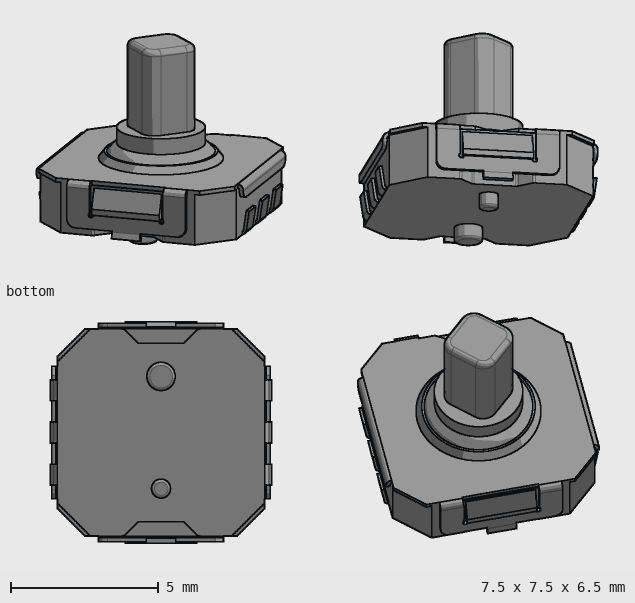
import cadquery as cq
import math

overall_half = 3.75

body_half = 3.5
cover_top = 1.91
sheet = 0.14
base_top = cover_top - sheet
base_chamfer = 1.11
cover_chamfer = 0.93

skirt_outer = 3.7
skirt_inner = skirt_outer - sheet
bend_radius = 0.22
skirt_corner = 0.3
end_skirt_width = 4.23
end_skirt_bottom = 0.28
side_skirt_width = 4.485
side_skirt_bottom = 1.395

window_width = 2.625
window_bottom = 0.77
window_edge = 3.46
relief_radius = 0.08

lug_width = 2.415
lug_top = 1.68
lug_crest = 1.0
lug_bottom = 0.795
lug_root = 0.075

tongue_width = 1.005
tongue_fold = 0.255
tongue_inner_reach = 3.585
tongue_outer_tip = 0.02
tongue_inner_tip = 0.0

recess_half_mouth = 1.25
recess_depth = 0.49
recess_height = 0.57
recess_outer_round = 0.15
recess_inner_round = 0.12

notch_half = 0.75
notch_apex = 2.94
notch_round = 0.3

terminal_width = 0.71
terminal_pitch = 1.425
terminal_thickness = 0.105
terminal_top = 0.84
terminal_bend = 0.195
terminal_tilt = math.radians(8.5)
terminal_root = 3.3

collar_bottom_radius = 2.115
collar_top_radius = 1.92
dome_bottom_radius = 1.84
dome_bottom = 2.17
disc_radius = 1.5
disc_bottom = 2.45
disc_top = 3.01
dome_bulge = 0.03

stem_side = 1.94
stem_corner = 0.48
stem_top = 6.0
stem_top_round = 0.2

peg_offset = 1.9
front_peg_radius = 0.48
back_peg_radius = 0.32
peg_length = 0.5
peg_round = 0.1


def octagon(half, chamfer, bottom, top):
    """Square block with chamfered upright corners."""
    block = cq.Workplane("XY").box(2 * half, 2 * half, top - bottom, centered=(True, True, False))
    return block.edges("|Z").chamfer(chamfer).translate((0, 0, bottom))


def with_opposite(shape):
    """Join a shape to its copy turned half round the Z axis."""
    return shape.union(shape.rotate((0, 0, 0), (0, 0, 1), 180))


def extrude_across(profile, width):
    """Extrude a profile drawn in the YZ plane evenly to both sides of that plane."""
    return profile.extrude(width / 2, both=True)


def make_recess():
    """Volume cut from the +Y side of the base."""
    inner_half = recess_half_mouth - recess_depth
    floor = body_half - recess_depth
    prism = (
        cq.Workplane("XY")
        .polyline([
            (-recess_half_mouth, body_half),
            (-inner_half, floor),
            (inner_half, floor),
            (recess_half_mouth, body_half),
        ])
        .close()
        .extrude(recess_height)
    )
    return prism.edges("|Z and <Y").fillet(recess_inner_round)


def make_base():
    base = octagon(body_half, base_chamfer, 0, base_top)
    base = base.cut(with_opposite(make_recess()))
    mouth_box = cq.selectors.BoxSelector(
        (-body_half / 2, -overall_half, 0),
        (body_half / 2, overall_half, recess_height),
    )
    mouth_edges = base.edges("|Z").edges(mouth_box).edges("<Y or >Y")
    return mouth_edges.fillet(recess_outer_round)


def make_lug():
    """Wedge on the +Y side; it starts inside the base so that the two join."""
    profile = cq.Workplane("YZ").polyline([
        (body_half - lug_root, lug_bottom),
        (overall_half, lug_bottom),
        (overall_half, lug_crest),
        (body_half, lug_top),
        (body_half - lug_root, lug_top),
    ]).close()
    return extrude_across(profile, lug_width)


def make_peg(y, radius):
    peg = cq.Workplane("XY").center(0, y).circle(radius).extrude(-peg_length)
    return peg.faces("<Z").edges().fillet(peg_round)


def make_skirt(width, bottom):
    """Skirt on the +Y side, joined to the cover by a rounded fold."""
    bend_start = skirt_outer - bend_radius
    inside_radius = bend_radius - sheet
    diagonal = math.sqrt(0.5)
    bend_centre = cover_top - bend_radius
    profile = (
        cq.Workplane("YZ")
        .moveTo(bend_start, cover_top)
        .threePointArc(
            (bend_start + bend_radius * diagonal, bend_centre + bend_radius * diagonal),
            (skirt_outer, bend_centre),
        )
        .lineTo(skirt_outer, bottom)
        .lineTo(skirt_inner, bottom)
        .lineTo(skirt_inner, bend_centre)
        .threePointArc(
            (bend_start + inside_radius * diagonal, bend_centre + inside_radius * diagonal),
            (bend_start, base_top),
        )
        .close()
    )
    return extrude_across(profile, width).edges("|Y and <Z").fillet(skirt_corner)


def make_tongue():
    """Tongue on the +Y side, leaning outwards below the fold line."""
    profile = cq.Workplane("YZ").polyline([
        (skirt_inner, end_skirt_bottom),
        (skirt_outer, end_skirt_bottom),
        (skirt_outer, tongue_fold),
        (overall_half, tongue_outer_tip),
        (tongue_inner_reach, tongue_inner_tip),
        (skirt_inner, tongue_fold),
    ]).close()
    return extrude_across(profile, tongue_width)


def make_window():
    """Volume cut from the +Y skirt, with a round relief at each lower corner."""
    depth = overall_half - window_edge
    window = cq.Workplane("XY").box(
        window_width, depth, cover_top - window_bottom, centered=(True, False, False)
    ).translate((0, window_edge, window_bottom))
    relief_x = (window_width + lug_width) / 4
    reliefs = (
        cq.Workplane("XZ", origin=(0, overall_half, window_bottom))
        .pushPoints([(-relief_x, 0), (relief_x, 0)])
        .circle(relief_radius)
        .extrude(overall_half - skirt_inner)
    )
    return window.union(reliefs)


def make_notch():
    """Rounded V cut through the cover at the +Y side."""
    notch = (
        cq.Workplane("XY", origin=(0, 0, base_top))
        .polyline([(-notch_half, window_edge), (0, notch_apex), (notch_half, window_edge)])
        .close()
        .extrude(sheet)
    )
    return notch.edges("|Z and <Y").fillet(notch_round)


def make_cover():
    end_skirt = make_skirt(end_skirt_width, end_skirt_bottom).union(make_tongue())
    side_skirt = make_skirt(side_skirt_width, side_skirt_bottom).rotate((0, 0, 0), (0, 0, 1), 90)
    cover = octagon(body_half, cover_chamfer, base_top, cover_top)
    cover = cover.union(with_opposite(end_skirt))
    cover = cover.union(with_opposite(side_skirt))
    cover = cover.cut(with_opposite(make_window()))
    return cover.cut(make_notch())


def make_terminal(y):
    """Terminal on the +X side: a flat foot, a bend and a blade leaning outwards."""
    sweep = math.pi / 2 - terminal_tilt
    blade_start = terminal_bend * (1 - math.cos(sweep))
    blade_run = (terminal_top - blade_start) * math.tan(terminal_tilt)
    bend_x = overall_half - blade_run - terminal_bend * math.sin(sweep)
    inside_bend = terminal_bend - terminal_thickness

    def on_bend(radius, angle):
        return (bend_x + radius * math.sin(angle), terminal_bend - radius * math.cos(angle))

    inner_tip = (
        overall_half - terminal_thickness * math.cos(terminal_tilt),
        terminal_top + terminal_thickness * math.sin(terminal_tilt),
    )
    return (
        cq.Workplane("XZ", origin=(0, y + terminal_width / 2, 0))
        .moveTo(terminal_root, 0)
        .lineTo(bend_x, 0)
        .threePointArc(on_bend(terminal_bend, sweep / 2), on_bend(terminal_bend, sweep))
        .lineTo(overall_half, terminal_top)
        .lineTo(*inner_tip)
        .lineTo(*on_bend(inside_bend, sweep))
        .threePointArc(on_bend(inside_bend, sweep / 2), (bend_x, terminal_thickness))
        .lineTo(terminal_root, terminal_thickness)
        .close()
        .extrude(terminal_width)
    )


def make_knob():
    """Collar, domed shoulder and disc, turned about the Z axis."""
    dome_run = dome_bottom_radius - disc_radius
    dome_rise = disc_bottom - dome_bottom
    chord = math.hypot(dome_run, dome_rise)
    dome_middle = (
        (dome_bottom_radius + disc_radius) / 2 + dome_bulge * dome_rise / chord,
        (dome_bottom + disc_bottom) / 2 + dome_bulge * dome_run / chord,
    )
    return (
        cq.Workplane("XZ")
        .moveTo(0, base_top)
        .lineTo(collar_bottom_radius, base_top)
        .lineTo(collar_bottom_radius, cover_top)
        .lineTo(collar_top_radius, dome_bottom)
        .lineTo(dome_bottom_radius, dome_bottom)
        .threePointArc(dome_middle, (disc_radius, disc_bottom))
        .lineTo(disc_radius, disc_top)
        .lineTo(0, disc_top)
        .close()
        .revolve(360, (0, 0, 0), (0, 1, 0))
    )


def make_stem():
    stem = cq.Workplane("XY").rect(stem_side, stem_side).extrude(stem_top - disc_top)
    stem = stem.edges("|Z").fillet(stem_corner)
    stem = stem.faces(">Z").edges().fillet(stem_top_round)
    return stem.rotate((0, 0, 0), (0, 0, 1), 45).translate((0, 0, disc_top))


result = make_base()
result = result.union(make_cover())
result = result.union(with_opposite(make_lug()))
for row in (-1, 0, 1):
    result = result.union(with_opposite(make_terminal(row * terminal_pitch)))
result = result.union(make_peg(-peg_offset, front_peg_radius))
result = result.union(make_peg(peg_offset, back_peg_radius))
result = result.union(make_knob())
result = result.union(make_stem())